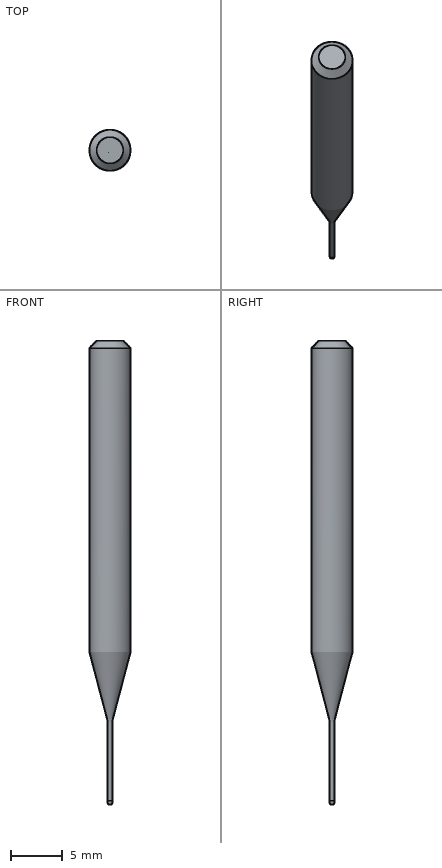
import cadquery as cq

total_length = 45.0
shank_radius = 2.002
chamfer_size = 0.7
taper_top = 14.8
taper_bottom = 8.3
taper_end_radius = 0.28
neck_top = 8.0
tip_radius = 0.248
head_length = 0.4


def make_shank():
    """Chamfered shank, taper and slender neck, turned as one profile."""
    return (
        cq.Workplane("XZ")
        .moveTo(0, head_length)
        .lineTo(tip_radius, head_length)
        .lineTo(tip_radius, neck_top)
        .lineTo(taper_end_radius, taper_bottom)
        .lineTo(shank_radius, taper_top)
        .lineTo(shank_radius, total_length - chamfer_size)
        .lineTo(shank_radius - chamfer_size, total_length)
        .lineTo(0, total_length)
        .close()
        .revolve(360, (0, 0, 0), (0, 1, 0))
    )


def make_cutting_head():
    """Ball-nosed cutting head that meets the lower end of the neck."""
    return (
        cq.Workplane("XZ")
        .lineTo(0, head_length)
        .lineTo(tip_radius, head_length)
        .lineTo(tip_radius, tip_radius)
        .radiusArc((0, 0), tip_radius)
        .close()
        .revolve(360, (0, 0, 0), (0, 1, 0))
    )


shank = make_shank()
cutting_head = make_cutting_head()
result = cq.Compound.makeCompound([shank.val(), cutting_head.val()])